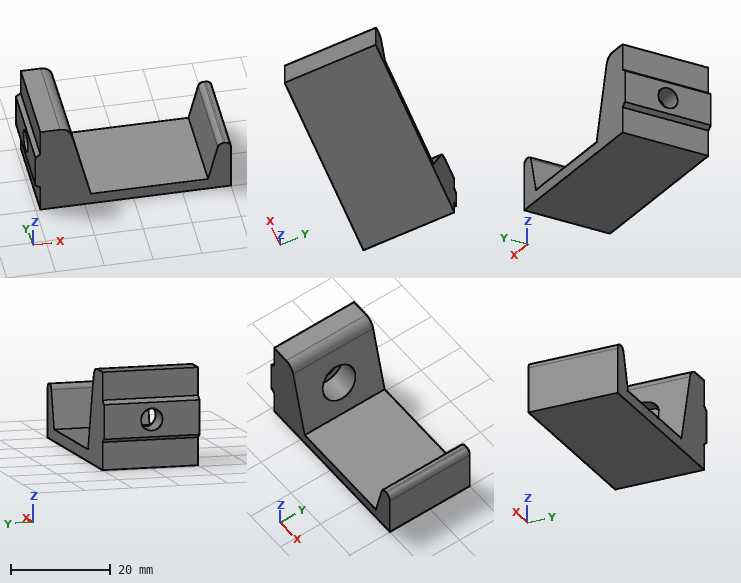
import cadquery as cq

length = 40.1
width = 20.0
height = 20.0

floor_thickness = 2.5
wall_slope = 0.25
tall_wall_foot_x = 11.35
low_wall_foot_x = 35.35
low_wall_height = 11.25
tall_wall_radius = 2.5
low_wall_radius = 1.25

rib_depth = 1.0
rib_center_z = height / 2
rib_base_height = 8.6
rib_face_height = 7.05

hole_diameter = 4.5
counterbore_diameter = 8
counterbore_seat_x = 5.0

tall_wall_top_x = tall_wall_foot_x - wall_slope * (height - floor_thickness)
low_wall_top_x = low_wall_foot_x + wall_slope * (low_wall_height - floor_thickness)


def make_body():
    """Extrude the side profile across the width, centred on Y = 0."""
    profile = [
        (rib_depth, 0),
        (length, 0),
        (length, low_wall_height),
        (low_wall_top_x, low_wall_height),
        (low_wall_foot_x, floor_thickness),
        (tall_wall_foot_x, floor_thickness),
        (tall_wall_top_x, height),
        (rib_depth, height),
        (rib_depth, rib_center_z + rib_base_height / 2),
        (0, rib_center_z + rib_face_height / 2),
        (0, rib_center_z - rib_face_height / 2),
        (rib_depth, rib_center_z - rib_base_height / 2),
    ]
    return cq.Workplane("XZ").polyline(profile).close().extrude(width / 2, both=True)


def round_top_edge(body, x, z, radius):
    """Round the edge that runs along Y at the given X and Z."""
    edge = cq.selectors.NearestToPointSelector((x, 0, z))
    return body.edges("|Y").edges(edge).fillet(radius)


def x_cylinder(diameter, start_x, end_x):
    """Cylinder along X on the screw axis."""
    return (
        cq.Workplane("YZ", origin=(start_x, 0, rib_center_z))
        .circle(diameter / 2)
        .extrude(end_x - start_x)
    )


result = make_body()
result = round_top_edge(result, tall_wall_top_x, height, tall_wall_radius)
result = round_top_edge(result, low_wall_top_x, low_wall_height, low_wall_radius)
result = round_top_edge(result, length, low_wall_height, low_wall_radius)

result = result.cut(x_cylinder(hole_diameter, 0, tall_wall_foot_x))
result = result.cut(x_cylinder(counterbore_diameter, counterbore_seat_x, tall_wall_foot_x))